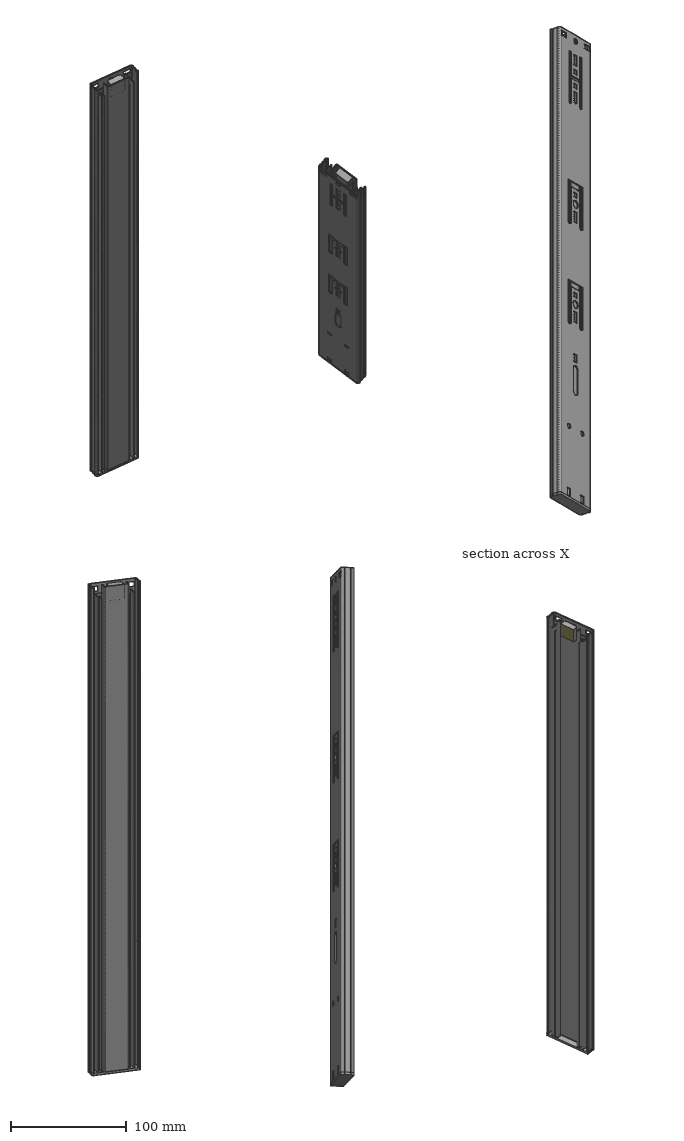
import cadquery as cq
import math

LENGTH = 450.0
DEPTH = 12.5
WIDTH = 45.0
BACK_X = -DEPTH / 2
FRONT_X = DEPTH / 2
TOP_Z = LENGTH / 2
BOTTOM_Z = -LENGTH / 2

RAIL_SHEET = 1.12
CAGE_SHEET = 0.68

BACK_CORNER_RADIUS = 2.2
BEAD_START_X = -3.0
BEAD_END_X = 2.2
BEAD_RECESS = 1.12
BEAD_HEIGHT = 1.0
LIP_RADIUS = 2.5
LIP_START_X = 3.0
LIP_ANGLE = 60.0
MOUTH_HALF_WIDTH = 20.2
END_PLATE = 2.2
RAIL_BOTTOM_Z = BOTTOM_Z + END_PLATE

MIDDLE_HALF_WIDTH = 17.0
MIDDLE_WEB_X = -4.0
MIDDLE_EDGE_X = 5.5
MIDDLE_TOP_Z = 216.0
INNER_HALF_WIDTH = 11.5
INNER_EDGE_X = 0.0
BALL_CAGE_HALF_WIDTH = 13.5
BALL_CAGE_WEB_X = -2.2
BALL_CAGE_EDGE_X = 4.0
CAGE_TOP_Z = 213.8
CHANNEL_CORNER_RADIUS = 1.5

BLOCK_HALF_WIDTH = 7.0
BLOCK_BACK_X = -1.5
BLOCK_HEIGHT = 13.5
BLOCK_CHAMFER = 1.5

WINDOW_INNER_Y = 13.0
WINDOW_OUTER_Y = 20.2
WINDOW_BOTTOM_Z = 217.5
WINDOW_TOP_Z = 222.0
SCREW_HOLE_DIAMETER = 5.0
SCREW_HOLE_Z = 219.0
SMALL_OPENING = 4.2
TALL_OPENING = 10.0

SLIT_RECESS_DEPTH = 0.5
SLIT_LEDGE = 1.0

H_CLIP_TOP_Z = 206.5
H_CLIP_BOTTOM_Z = 156.5
H_SLIT_INNER_Y = 6.5
H_SLIT_OUTER_Y = 9.0
H_CROSS_Z = 182.5
H_CROSS_HEIGHT = 2.5
H_SQUARE_OFFSET = 6.8
H_TALL_TOP_Z = 205.5
H_SLOT_TOP_Z = 170.0
H_SLOT_BOTTOM_Z = 159.5

U_CLIP_TOPS = (82.5, -14.0)
U_CLIP_HEIGHT = 42.0
U_SLIT_INNER_Y = 6.5
U_SLIT_OUTER_Y = 10.5
U_BAR_HEIGHT = 5.5
U_SQUARE_DROP = 11.2
U_HOLE_DROP = 20.2
U_HOLE_DIAMETER = 7.0
U_TALL_DROP = 32.5

LATCH_OPENING_Z = -86.0
LATCH_OPENING_HEIGHT = 7.0
LONG_SLOT_TOP_Z = -93.0
LONG_SLOT_BOTTOM_Z = -121.5
LONG_SLOT_WIDTH = 6.5
RIVET_HOLE_DIAMETER = 4.5
RIVET_HOLE_Y = 9.5
RIVET_HOLE_Z = -155.0
FOOT_OPENING_Y = 9.5
FOOT_OPENING_Z = -218.2
FOOT_OPENING_HEIGHT = 7.0


def box_between(x0, x1, y0, y1, z0, z1):
    return cq.Workplane("XY").box(x1 - x0, y1 - y0, z1 - z0, centered=False).translate((x0, y0, z0))


def web_window(y0, y1, z0, z1, depth=RAIL_SHEET):
    """Rectangular cutter into the back of the outer rail's web, through it by default."""
    return box_between(BACK_X, BACK_X + depth, y0, y1, z0, z1)


def centred_window(y, z, width, height):
    return web_window(y - width / 2, y + width / 2, z - height / 2, z + height / 2)


def web_hole(y, z, diameter, depth=RAIL_SHEET):
    """Round cutter into the back of the outer rail's web, through it by default."""
    plane = cq.Workplane("YZ", origin=(BACK_X, 0, 0))
    return plane.center(y, z).circle(diameter / 2).extrude(depth)


def outer_section(z):
    """Closed outline of the outer rail: rounded back corners, recessed raceway beads, curled lips."""
    flange_y = WIDTH / 2
    corner_x = BACK_X + BACK_CORNER_RADIUS
    corner_y = flange_y - BACK_CORNER_RADIUS
    bead_foot_y = flange_y - BEAD_RECESS
    bead_top = ((BEAD_START_X + BEAD_END_X) / 2, bead_foot_y + BEAD_HEIGHT)
    lip_angle = math.radians(LIP_ANGLE)
    lip_end = (
        LIP_START_X + LIP_RADIUS * math.sin(lip_angle),
        flange_y - LIP_RADIUS * (1 - math.cos(lip_angle)),
    )
    half = cq.Workplane("XY", origin=(0, 0, z)).moveTo(BACK_X, 0).lineTo(BACK_X, corner_y)
    half = half.radiusArc((corner_x, flange_y), BACK_CORNER_RADIUS)
    half = half.lineTo(BEAD_START_X, flange_y).lineTo(BEAD_START_X, bead_foot_y)
    half = half.threePointArc(bead_top, (BEAD_END_X, bead_foot_y)).lineTo(BEAD_END_X, flange_y)
    half = half.lineTo(LIP_START_X, flange_y).radiusArc(lip_end, LIP_RADIUS).lineTo(lip_end[0], 0)
    return half.mirrorX()


def top_openings():
    cutter = web_hole(0, SCREW_HOLE_Z, SCREW_HOLE_DIAMETER)
    for side in (-1, 1):
        inner, outer = sorted((side * WINDOW_INNER_Y, side * WINDOW_OUTER_Y))
        cutter = cutter.union(web_window(inner, outer, WINDOW_BOTTOM_Z, WINDOW_TOP_Z))
    return cutter


def round_ended_slit(y, width, z0, z1, depth):
    """Upright slit with a square top and a round lower end."""
    foot_z = z0 + width / 2
    slit = web_window(y - width / 2, y + width / 2, foot_z, z1, depth)
    return slit.union(web_hole(y, foot_z, width, depth))


def slit_pair(inner_y, outer_y, z0, z1):
    """Two mirrored slits, each a shallow coined recess with a narrower slit through its floor."""
    width = outer_y - inner_y
    cutter = cq.Workplane("XY")
    for side in (-1, 1):
        y = side * (inner_y + outer_y) / 2
        cutter = cutter.add(round_ended_slit(y, width, z0, z1, SLIT_RECESS_DEPTH))
        through = round_ended_slit(
            y, width - 2 * SLIT_LEDGE, z0 + SLIT_LEDGE, z1 - SLIT_LEDGE, RAIL_SHEET
        )
        cutter = cutter.add(through)
    return cutter.combine()


def h_clip():
    cutter = slit_pair(H_SLIT_INNER_Y, H_SLIT_OUTER_Y, H_CLIP_BOTTOM_Z, H_CLIP_TOP_Z)
    cutter = cutter.union(centred_window(0, H_CROSS_Z, 2 * H_SLIT_INNER_Y, H_CROSS_HEIGHT))
    for z in (H_CROSS_Z - H_SQUARE_OFFSET, H_CROSS_Z + H_SQUARE_OFFSET):
        cutter = cutter.union(centred_window(0, z, SMALL_OPENING, SMALL_OPENING))
    half = SMALL_OPENING / 2
    cutter = cutter.union(web_window(-half, half, H_TALL_TOP_Z - TALL_OPENING, H_TALL_TOP_Z))
    cutter = cutter.union(web_window(-half, half, H_SLOT_BOTTOM_Z + half, H_SLOT_TOP_Z))
    return cutter.union(web_hole(0, H_SLOT_BOTTOM_Z + half, SMALL_OPENING))


def u_clip(top_z):
    cutter = slit_pair(U_SLIT_INNER_Y, U_SLIT_OUTER_Y, top_z - U_CLIP_HEIGHT, top_z)
    cutter = cutter.union(web_window(-U_SLIT_INNER_Y, U_SLIT_INNER_Y, top_z - U_BAR_HEIGHT, top_z))
    cutter = cutter.union(centred_window(0, top_z - U_SQUARE_DROP, SMALL_OPENING, SMALL_OPENING))
    cutter = cutter.union(web_hole(0, top_z - U_HOLE_DROP, U_HOLE_DIAMETER))
    return cutter.union(centred_window(0, top_z - U_TALL_DROP, SMALL_OPENING, TALL_OPENING))


def lower_openings():
    radius = LONG_SLOT_WIDTH / 2
    z0 = LONG_SLOT_BOTTOM_Z + radius
    z1 = LONG_SLOT_TOP_Z - radius
    cutter = web_window(-radius, radius, z0, z1)
    for z in (z0, z1):
        cutter = cutter.union(web_hole(0, z, LONG_SLOT_WIDTH))
    cutter = cutter.union(centred_window(0, LATCH_OPENING_Z, SMALL_OPENING, LATCH_OPENING_HEIGHT))
    for side in (-1, 1):
        cutter = cutter.union(web_hole(side * RIVET_HOLE_Y, RIVET_HOLE_Z, RIVET_HOLE_DIAMETER))
        foot = centred_window(side * FOOT_OPENING_Y, FOOT_OPENING_Z, SMALL_OPENING, FOOT_OPENING_HEIGHT)
        cutter = cutter.union(foot)
    return cutter


def make_outer_rail():
    rail_length = TOP_Z - RAIL_BOTTOM_Z
    rail = outer_section(RAIL_BOTTOM_Z).extrude(rail_length)
    cavity = outer_section(RAIL_BOTTOM_Z).offset2D(-RAIL_SHEET).extrude(rail_length)
    mouth = box_between(0, FRONT_X, -MOUTH_HALF_WIDTH, MOUTH_HALF_WIDTH, RAIL_BOTTOM_Z, TOP_Z)
    rail = rail.cut(cavity).cut(mouth)
    rail = rail.cut(top_openings()).cut(h_clip()).cut(lower_openings())
    for top_z in U_CLIP_TOPS:
        rail = rail.cut(u_clip(top_z))
    return rail


def make_end_plate():
    """Flat plate that closes the bottom of the slide, cut to the outer rail's outline."""
    return outer_section(BOTTOM_Z).extrude(END_PLATE)


def make_channel(half_width, web_x, edge_x, sheet, top_z):
    """U-shaped strip standing on the end plate; its flanges run in X from the web to edge_x."""
    toward_edge = 1 if edge_x > web_x else -1
    x0, x1 = sorted((web_x, edge_x))
    web_side = "<X" if toward_edge > 0 else ">X"
    channel = box_between(x0, x1, -half_width, half_width, RAIL_BOTTOM_Z, top_z)
    channel = channel.faces(web_side).edges("|Z").fillet(CHANNEL_CORNER_RADIUS)
    inner_half = half_width - sheet
    hollow_x0, hollow_x1 = sorted((web_x + toward_edge * sheet, edge_x))
    return channel.cut(box_between(hollow_x0, hollow_x1, -inner_half, inner_half, RAIL_BOTTOM_Z, top_z))


def make_stop_block():
    block = box_between(
        BLOCK_BACK_X, FRONT_X - RAIL_SHEET, -BLOCK_HALF_WIDTH, BLOCK_HALF_WIDTH, TOP_Z - BLOCK_HEIGHT, TOP_Z
    )
    return block.faces("<X").edges("|Z").chamfer(BLOCK_CHAMFER)


outer_rail = make_outer_rail()
end_plate = make_end_plate()
middle_rail = make_channel(MIDDLE_HALF_WIDTH, MIDDLE_WEB_X, MIDDLE_EDGE_X, RAIL_SHEET, MIDDLE_TOP_Z)
inner_rail = make_channel(INNER_HALF_WIDTH, FRONT_X, INNER_EDGE_X, RAIL_SHEET, TOP_Z)
ball_cage = make_channel(
    BALL_CAGE_HALF_WIDTH, BALL_CAGE_WEB_X, BALL_CAGE_EDGE_X, CAGE_SHEET, CAGE_TOP_Z
)
stop_block = make_stop_block()

result = cq.Compound.makeCompound(
    [
        outer_rail.val(),
        middle_rail.val(),
        inner_rail.val(),
        end_plate.val(),
        ball_cage.val(),
        stop_block.val(),
    ]
)